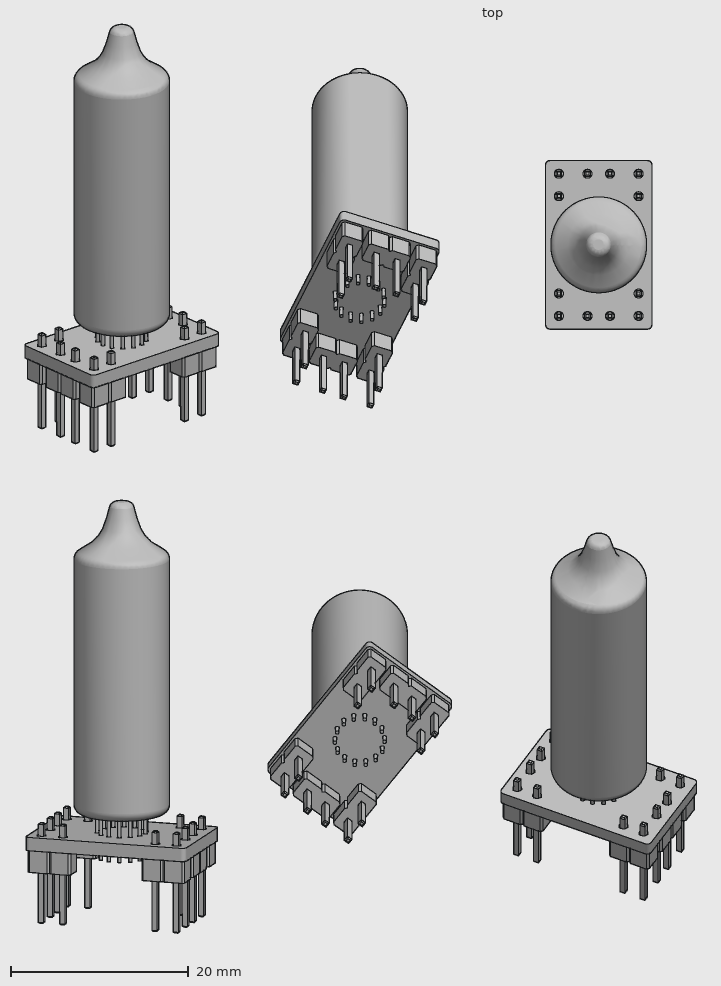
import cadquery as cq
import math

TOTAL_HEIGHT = 48.2
HEADER_BOTTOM = 6.05
HEADER_TOP = 8.55
BOARD_BOTTOM = 8.6
BOARD_TOP = 10.15
PIN_TOP = 11.55
TUBE_BOTTOM = 12.35
SHOULDER_HEIGHT = 42.2
NECK_HEIGHT = 44.6
LEAD_BOTTOM = 7.25

TUBE_RADIUS = 10.8 / 2
TIP_RADIUS = 1.2
NECK_RADIUS = 2.4
SHOULDER_SLOPE = 25
TIP_SLOPE = 72
TUBE_EDGE_FILLET = 1.0
TIP_FILLET = 0.8

LEAD_COUNT = 14
LEAD_DIAMETER = 0.4
LEAD_CIRCLE_RADIUS = 2.8

BOARD_WIDTH = 12.0
BOARD_LENGTH = 19.0
BOARD_CORNER_RADIUS = 0.55
LEAD_HOLE_DIAMETER = 0.5
PIN_HOLE_DIAMETER = 1.0

PIN_COUNT = 2
HEADER_LENGTH = 5.05
PIN_PITCH = HEADER_LENGTH / PIN_COUNT
PIN_SIDE = 0.65
PIN_TIP_CHAMFER = 0.15
HEADER_CHAMFER = 0.25
PIN_COLUMN_X = 4.5
PIN_ROW_Y = 8.0

SIDE_HEADER_Y = PIN_ROW_Y - PIN_PITCH / 2
HEADER_PLACES = [(0, side * PIN_ROW_Y, 0) for side in (-1, 1)] + [
    (x_side * PIN_COLUMN_X, y_side * SIDE_HEADER_Y, 90) for x_side in (-1, 1) for y_side in (-1, 1)
]

PIN_OFFSETS = [(i - (PIN_COUNT - 1) / 2) * PIN_PITCH for i in range(PIN_COUNT)]


def pin_points():
    """Board positions of all the header pins."""
    points = []
    for x, y, angle in HEADER_PLACES:
        turn = math.radians(angle)
        points += [(x + d * math.cos(turn), y + d * math.sin(turn)) for d in PIN_OFFSETS]
    return points


def on_lead_circle(plane):
    """The plane's lead positions, evenly spaced with the first one toward -Y."""
    return plane.polarArray(LEAD_CIRCLE_RADIUS, -90, 360, LEAD_COUNT)


def inward_slope(angle):
    """Direction toward the tube axis, rising at the given angle in degrees."""
    return (-math.cos(math.radians(angle)), math.sin(math.radians(angle)))


def make_tube():
    """Glass bulb with a drawn-out tip, together with its wire leads."""
    bulb = (
        cq.Workplane("XZ")
        .moveTo(0, TUBE_BOTTOM)
        .lineTo(TUBE_RADIUS, TUBE_BOTTOM)
        .lineTo(TUBE_RADIUS, SHOULDER_HEIGHT)
        .spline(
            [(NECK_RADIUS, NECK_HEIGHT), (TIP_RADIUS, TOTAL_HEIGHT)],
            tangents=[inward_slope(SHOULDER_SLOPE), inward_slope(TIP_SLOPE)],
            includeCurrent=True,
        )
        .lineTo(0, TOTAL_HEIGHT)
        .close()
        .revolve(360, (0, 0, 0), (0, 1, 0))
    )
    bulb = bulb.faces(">Z").edges().fillet(TIP_FILLET)
    bulb = bulb.faces("%CYLINDER").edges("%CIRCLE").fillet(TUBE_EDGE_FILLET)
    leads = (
        on_lead_circle(cq.Workplane("XY").workplane(offset=LEAD_BOTTOM))
        .circle(LEAD_DIAMETER / 2)
        .extrude(TUBE_BOTTOM - LEAD_BOTTOM)
    )
    return bulb.union(leads)


def make_board():
    """Board with rounded corners and clearance holes for the tube leads and the header pins."""
    board = (
        cq.Workplane("XY")
        .workplane(offset=BOARD_BOTTOM)
        .rect(BOARD_WIDTH, BOARD_LENGTH)
        .extrude(BOARD_TOP - BOARD_BOTTOM)
        .edges("|Z")
        .fillet(BOARD_CORNER_RADIUS)
    )
    board = board.faces(">Z").workplane(origin=(0, 0, 0)).pushPoints(pin_points()).hole(PIN_HOLE_DIAMETER)
    return on_lead_circle(board.faces(">Z").workplane(origin=(0, 0, 0))).hole(LEAD_HOLE_DIAMETER)


def make_header(x, y, angle):
    """Two-pin header: chamfered insulator blocks joined in a row, each with a square pin."""
    points = [(d, 0) for d in PIN_OFFSETS]
    insulator = (
        cq.Workplane("XY")
        .workplane(offset=HEADER_BOTTOM)
        .pushPoints(points)
        .rect(PIN_PITCH, PIN_PITCH)
        .extrude(HEADER_TOP - HEADER_BOTTOM, combine=False)
        .edges("|Z")
        .chamfer(HEADER_CHAMFER)
    )
    pins = (
        cq.Workplane("XY")
        .pushPoints(points)
        .rect(PIN_SIDE, PIN_SIDE)
        .extrude(PIN_TOP)
        .faces("<Z or >Z")
        .edges()
        .chamfer(PIN_TIP_CHAMFER)
    )
    header = insulator.combine().union(pins)
    return header.rotate((0, 0, 0), (0, 0, 1), angle).translate((x, y, 0))


tube = make_tube()
board = make_board()
headers = [make_header(*place) for place in HEADER_PLACES]

result = cq.Compound.makeCompound([tube.val(), board.val(), *[header.val() for header in headers]])